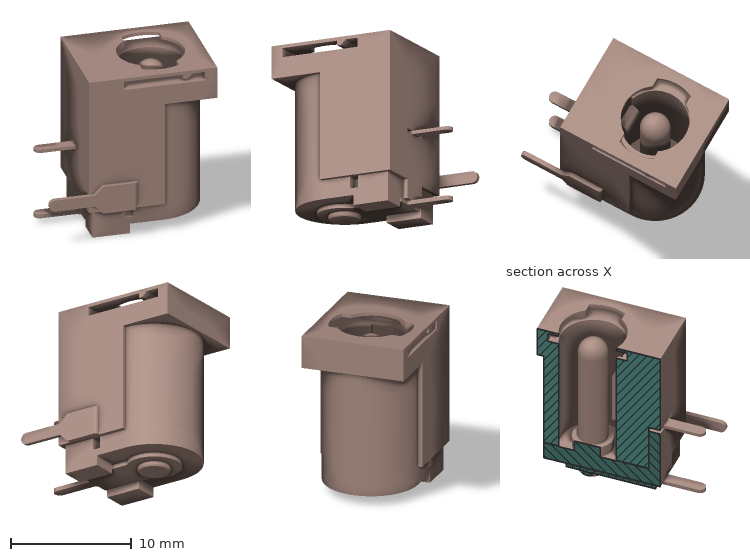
import cadquery as cq
import math


housing_width = 9.0
housing_height = 12.0
front_y = -6.5
back_y = 4.5
flange_height = 2.8
body_radius = 4.1
bore_radius = 2.85

recess_top_z = 4.38
hook_groove_y = -2.99

top_plate = 0.29
slot_floor_z = housing_height - 1.06
slot_length = 7.0
notch_radius = 3.55
notch_width = 3.19
stop_depth = 0.4
stop_bottom_width = 0.38
stop_top_width = 0.77

base_front_y = -6.1
base_thickness = 1.62
leg_height = 2.5
leg_back_y = -2.9
leg_gap = 3.89
tongue_width = 2.6
tongue_height = 4.02
tongue_back_y = -5.5
boss_radius = 1.75
boss_height = 1.0
side_notch_y = (-3.32, -2.6)
side_notch_height = 1.02
side_notch_depth = 1.0

pin_width = 1.0
pin_end_y = -10.0

spring_tail_z = 4.05
spring_thickness = 0.29
spring_width = 2.0
spring_face_y = -2.07
spring_bend_z = 8.7
spring_bend_radius = 0.6
hook_run = 0.6
hook_angle = math.radians(45)

centre_pin_radius = 1.26
centre_pin_top_z = 11.18
rivet_head_radius = 1.38
rivet_top_radius = 1.33
rivet_bottom_radius = 1.26
rivet_bottom_z = -2.39

terminal_thickness = 0.35
terminal_disc_radius = 2.3
terminal_arm_width = 3.42
terminal_corner_radius = 0.2

switch_thickness = 0.39
switch_height = 2.46
switch_back_y = -2.42
switch_taper_y = -5.38
switch_edge_radius = 0.29


def box(x, y, z):
    """Box spanning the given (low, high) ranges."""
    size = (x[1] - x[0], y[1] - y[0], z[1] - z[0])
    return cq.Workplane("XY").box(*size, centered=False).translate((x[0], y[0], z[0]))


def centred(width):
    return (-width / 2, width / 2)


def cylinder(radius, z):
    return cq.Workplane("XY").workplane(offset=z[0]).circle(radius).extrude(z[1] - z[0])


def round_ended_pin(start_y, bottom_z, thickness):
    """Flat solder pin along -Y with a full-round end."""
    half = pin_width / 2
    return (
        cq.Workplane("XY", origin=(0, 0, bottom_z))
        .moveTo(-half, start_y)
        .lineTo(-half, pin_end_y + half)
        .threePointArc((0, pin_end_y), (half, pin_end_y + half))
        .lineTo(half, start_y)
        .close()
        .extrude(thickness)
    )


def make_bayonet_stop():
    """Stop on the -X side, beside the notch, running from the bore to the outer face."""
    top_z = housing_height - top_plate
    edge_y = -notch_width / 2
    stop = (
        cq.Workplane("YZ", origin=(-housing_width / 2, 0, 0))
        .moveTo(edge_y, top_z)
        .lineTo(edge_y, top_z - stop_depth)
        .lineTo(edge_y - stop_bottom_width, top_z - stop_depth)
        .lineTo(edge_y - stop_top_width, top_z)
        .close()
        .extrude(housing_width / 2)
    )
    return stop.cut(cylinder(bore_radius, (0, housing_height)))


def make_housing():
    flange_z = housing_height - flange_height
    body = box(centred(housing_width), (front_y, 0), (0, housing_height))
    body = body.union(box(centred(housing_width), (0, back_y), (flange_z, housing_height)))
    body = body.union(cylinder(body_radius, (0, flange_z)))

    slot_z = (slot_floor_z, housing_height - top_plate)
    body = body.cut(box(centred(housing_width), centred(slot_length), slot_z))
    stop = make_bayonet_stop()
    body = body.union(stop).union(stop.rotate((0, 0, 0), (0, 0, 1), 180))

    notches = cylinder(notch_radius, (slot_floor_z, housing_height)).intersect(
        box(centred(housing_width), centred(notch_width), (slot_floor_z, housing_height))
    )
    body = body.cut(notches).cut(cylinder(bore_radius, (0, housing_height)))

    recess = box(centred(tongue_width), (front_y, tongue_back_y), (0, recess_top_z))
    tail_slot_z = (spring_tail_z, spring_tail_z + spring_thickness)
    tail_slot = box(centred(pin_width), (tongue_back_y, spring_face_y), tail_slot_z)
    hook_groove = box(centred(spring_width), (hook_groove_y, spring_face_y), (spring_bend_z, slot_floor_z))
    return body.cut(recess).cut(tail_slot).cut(hook_groove)


def make_base():
    base_z = (-base_thickness, 0)
    width = centred(2 * body_radius)
    base = box(width, (base_front_y, 0), base_z)
    base = base.union(cylinder(body_radius, base_z))
    legs = box(width, (base_front_y, leg_back_y), (-leg_height, -base_thickness))
    base = base.union(legs.cut(box(centred(leg_gap), (base_front_y, leg_back_y), (-leg_height, 0))))

    tongue_z = (-base_thickness, tongue_height)
    base = base.union(box(centred(tongue_width), (front_y, tongue_back_y), tongue_z))
    base = base.union(cylinder(boss_radius, (0, boss_height)))

    notch_x = (-body_radius, -body_radius + side_notch_depth)
    notch = box(notch_x, side_notch_y, (-side_notch_height, 0))
    base = base.cut(notch).cut(notch.mirror("YZ"))
    return base.cut(cylinder(centre_pin_radius, (-leg_height, boss_height)))


def make_spring_contact():
    """Upright blade hooked outward, with a tail leaving through the front as a pin."""
    outer_bend_z = spring_bend_z - spring_thickness * math.tan(hook_angle / 2)
    outer_y = spring_face_y - spring_thickness
    tip_y = spring_face_y - hook_run
    tip_z = spring_bend_z + hook_run / math.tan(hook_angle)
    outer_tip_y = tip_y - spring_thickness * math.cos(hook_angle)
    outer_tip_z = tip_z - spring_thickness * math.sin(hook_angle)
    blade = (
        cq.Workplane("YZ", origin=(-spring_width / 2, 0, 0))
        .polyline([
            (outer_y, spring_tail_z),
            (spring_face_y, spring_tail_z),
            (spring_face_y, spring_bend_z),
            (tip_y, tip_z),
            (outer_tip_y, outer_tip_z),
            (outer_y, outer_bend_z),
        ])
        .close()
        .extrude(spring_width)
    )
    bend_edge = cq.selectors.NearestToPointSelector((0, spring_face_y, spring_bend_z))
    blade = blade.edges(bend_edge).fillet(spring_bend_radius)
    return blade.union(round_ended_pin(outer_y, spring_tail_z, spring_thickness))


def make_centre_pin():
    """Domed pin, riveted over below its terminal."""
    terminal_bottom_z = -base_thickness - terminal_thickness
    middle_z = (terminal_bottom_z + rivet_bottom_z) / 2
    shoulder_z = centre_pin_top_z - centre_pin_radius
    dome_offset = centre_pin_radius / math.sqrt(2)
    return (
        cq.Workplane("XZ")
        .moveTo(0, rivet_bottom_z)
        .lineTo(rivet_bottom_radius, rivet_bottom_z)
        .threePointArc((rivet_head_radius, middle_z), (rivet_top_radius, terminal_bottom_z))
        .lineTo(centre_pin_radius, terminal_bottom_z)
        .lineTo(centre_pin_radius, shoulder_z)
        .threePointArc((dome_offset, shoulder_z + dome_offset), (0, centre_pin_top_z))
        .close()
        .revolve(360, (0, 0, 0), (0, 1, 0))
    )


def make_centre_terminal():
    """Disc under the base with an arm between the legs, narrowing to a solder pin."""
    bottom_z = -base_thickness - terminal_thickness
    plate_z = (bottom_z, -base_thickness)
    plate = cylinder(terminal_disc_radius, plate_z)
    plate = plate.union(box(centred(terminal_arm_width), (base_front_y, 0), plate_z))
    plate = plate.union(round_ended_pin(base_front_y, bottom_z, terminal_thickness))
    for side in (-1, 1):
        corner = cq.selectors.NearestToPointSelector((side * pin_width / 2, base_front_y, sum(plate_z) / 2))
        plate = plate.edges(corner).fillet(terminal_corner_radius)
    return plate.cut(cylinder(centre_pin_radius, plate_z))


def make_switch_terminal():
    """Plate against the +X face, tapering at 45 degrees to a solder pin."""
    half_pin = pin_width / 2
    middle_z = switch_height / 2
    taper = middle_z - half_pin
    plate = (
        cq.Workplane("YZ", origin=(housing_width / 2, 0, 0))
        .moveTo(switch_back_y, 0)
        .lineTo(switch_taper_y, 0)
        .lineTo(switch_taper_y - taper, middle_z - half_pin)
        .lineTo(pin_end_y + half_pin, middle_z - half_pin)
        .threePointArc((pin_end_y, middle_z), (pin_end_y + half_pin, middle_z + half_pin))
        .lineTo(switch_taper_y - taper, middle_z + half_pin)
        .lineTo(switch_taper_y, switch_height)
        .lineTo(switch_back_y, switch_height)
        .close()
        .extrude(switch_thickness)
    )
    back_edge = cq.selectors.NearestToPointSelector(
        (housing_width / 2 + switch_thickness, switch_back_y, middle_z)
    )
    return plate.edges(back_edge).fillet(switch_edge_radius)


housing = make_housing()
base = make_base()
spring_contact = make_spring_contact()
centre_pin = make_centre_pin()
centre_terminal = make_centre_terminal()
switch_terminal = make_switch_terminal()

bodies = (housing, base, spring_contact, centre_pin, centre_terminal, switch_terminal)
result = cq.Compound.makeCompound([body.solids().val() for body in bodies])